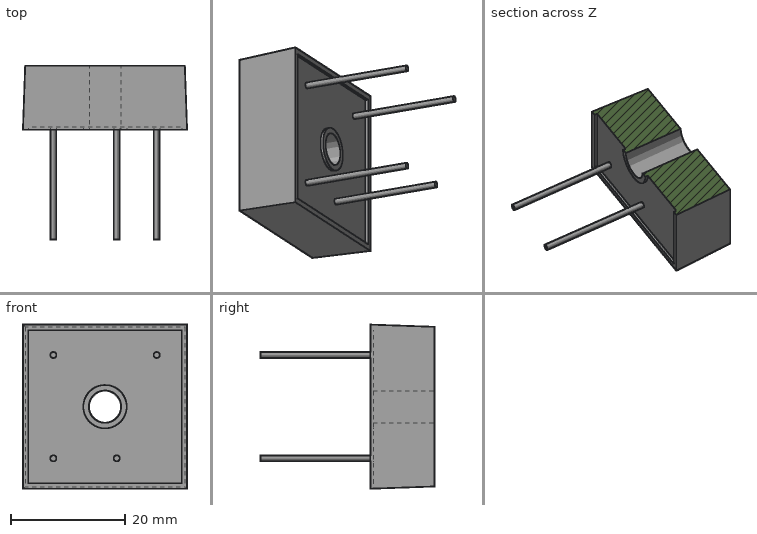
import cadquery as cq

body_width = 28.8
body_depth = 11.25
draft_angle = 2.0

wall_thickness = 0.98
recess_depth = 0.5

hole_diameter = 5.6
collar_diameter = 7.6

overall_depth = 30.5
lead_diameter = 1.07
lead_length = overall_depth - body_depth
lead_pitch = 18.1
offset_lead_pitch = 11.1
lead_near = -lead_pitch / 2
lead_far = lead_pitch / 2
lead_positions = [
    (lead_near, lead_far),
    (lead_far, lead_far),
    (lead_near, lead_near),
    (lead_near + offset_lead_pitch, lead_near),
]


def face_plane(y):
    """Plane at depth y, with local x along X, local y along Z and normal toward -Y."""
    return cq.Workplane("XZ", origin=(0, y, 0))


def make_body():
    return face_plane(0).rect(body_width, body_width).extrude(-body_depth, taper=draft_angle)


def make_recess():
    """Square pocket that leaves the collar standing around the hole."""
    recess_width = body_width - 2 * wall_thickness
    pocket = face_plane(0).rect(recess_width, recess_width).extrude(-recess_depth)
    collar = face_plane(0).circle(collar_diameter / 2).extrude(-recess_depth)
    return pocket.cut(collar)


def make_hole():
    return face_plane(0).circle(hole_diameter / 2).extrude(-body_depth)


def make_leads():
    """Leads projecting toward -Y from the recess floor."""
    leads = face_plane(recess_depth).pushPoints(lead_positions).circle(lead_diameter / 2)
    return leads.extrude(lead_length + recess_depth)


result = make_body().cut(make_recess()).cut(make_hole()).union(make_leads())